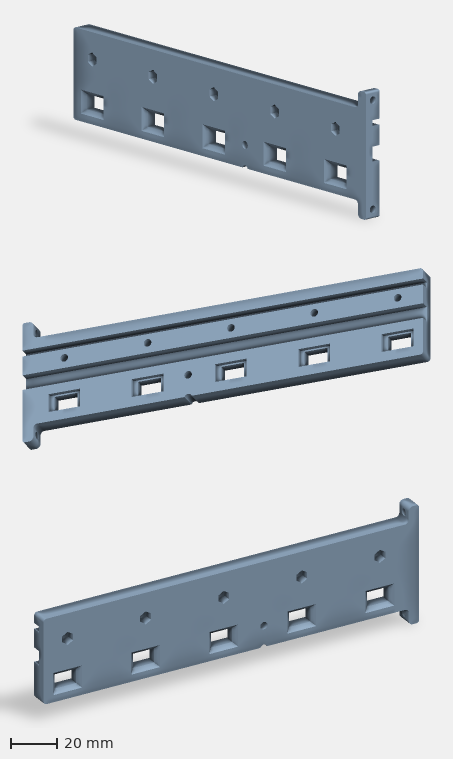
import cadquery as cq
import math

length = 188.0
thickness = 8.0
flange_height = 57.2

plate_height = 41.4
flange_width = 5.0
corner_radius = 1.5
root_radius = 1.9
flange_tip_inner_radius = 2.0
flange_tip_outer_radius = 1.0

station_count = 5
station_pitch = 39.1
first_station_offset = 12.0

screw_z = 8.5
screw_diameter = 3.5
nut_across_flats = 5.5
nut_pocket_depth = 4.0

window_z = -11.8
window_width = 10.7
window_height = 7.0
bevel = 1.9
back_recess_side_margin = 2.0
back_recess_height_margin = 0.8
back_recess_depth = 2.0

groove_depth = 4.1
narrow_groove_z = 14.1
narrow_groove_height = 2.8
wide_groove_z = 0.2
wide_groove_height = 7.0

pin_x = 16.4
pin_diameter = 3.5
pin_z = -10.3
notch_z = -21.2

mount_diameter = 3.4
mount_z = 24.5

front_y = -thickness / 2
back_y = thickness / 2
right_x = length / 2
flange_x = right_x - flange_width
station_xs = [first_station_offset - right_x + i * station_pitch for i in range(station_count)]


def cylinder_y(x, z, diameter, depth=thickness):
    """Cylinder that starts at the front face and runs toward +Y."""
    workplane = cq.Workplane("XZ", origin=(x, front_y, z))
    return workplane.circle(diameter / 2).extrude(-depth)


def make_blank():
    """T-shaped plate: a long body with a taller flange at its right end."""
    body = cq.Workplane("XY").box(length, thickness, plate_height)
    body = body.edges("<X and |Y").fillet(corner_radius)
    flange = cq.Workplane("XY").box(flange_width, thickness, flange_height)
    flange = flange.edges("<X and |Y").fillet(flange_tip_inner_radius)
    flange = flange.edges(">X and |Y").fillet(flange_tip_outer_radius)
    flange = flange.translate((right_x - flange_width / 2, 0, 0))
    blank = body.union(flange)
    reach = root_radius / 2
    root_region = cq.selectors.BoxSelector(
        (flange_x - reach, -thickness, -plate_height / 2 - reach),
        (flange_x + reach, thickness, plate_height / 2 + reach),
    )
    return blank.edges(root_region).edges("|Y").fillet(root_radius)


def screw_hole(x):
    """Through hole with a nut pocket, one hexagon corner pointing up."""
    across_corners = nut_across_flats / math.cos(math.radians(30))
    nut_pocket = (
        cq.Workplane("XZ", origin=(x, front_y, screw_z))
        .transformed(rotate=(0, 0, 90))
        .polygon(6, across_corners)
        .extrude(-nut_pocket_depth)
    )
    return cylinder_y(x, screw_z, screw_diameter).union(nut_pocket)


def window(x):
    """Rectangular opening with a flared front rim and a wider back end."""
    opening = cq.Workplane("XY").box(window_width, thickness, window_height)
    opening = opening.translate((x, 0, window_z))
    flare = (
        cq.Workplane("XZ", origin=(x, front_y, window_z))
        .rect(window_width + 2 * bevel, window_height + 2 * bevel)
        .workplane(offset=-bevel)
        .rect(window_width, window_height)
        .loft()
    )
    recess = cq.Workplane("XY").box(
        window_width + 2 * back_recess_side_margin,
        back_recess_depth,
        window_height + 2 * back_recess_height_margin,
    )
    recess = recess.translate((x, back_y - back_recess_depth / 2, window_z))
    return opening.union(flare).union(recess)


def back_groove(z, height):
    """Square-sided groove along the whole back face."""
    groove = cq.Workplane("XY").box(length, groove_depth, height)
    return groove.translate((0, back_y - groove_depth / 2, z))


def mount_hole(z):
    """Hole along X through one projecting end of the flange."""
    workplane = cq.Workplane("YZ", origin=(flange_x, 0, z))
    return workplane.circle(mount_diameter / 2).extrude(flange_width)


result = make_blank()

for station_x in station_xs:
    result = result.cut(screw_hole(station_x))
    result = result.cut(window(station_x))

result = result.cut(back_groove(narrow_groove_z, narrow_groove_height))
result = result.cut(back_groove(wide_groove_z, wide_groove_height))

for hole_z in (pin_z, notch_z):
    result = result.cut(cylinder_y(pin_x, hole_z, pin_diameter))

for side in (1, -1):
    result = result.cut(mount_hole(side * mount_z))